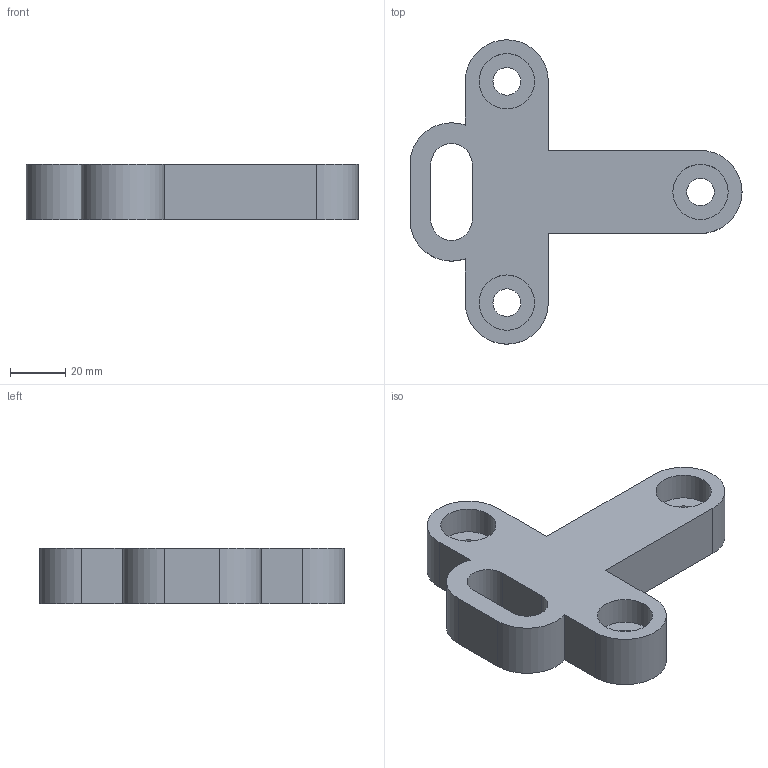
import cadquery as cq

thickness = 20.0
arm_width = 30.0

lug_width = 30.0
slot_width = 15.0
slot_center_spacing = 20.0
lug_x = lug_width / 2

cross_bar_x = 35.0
cross_hole_spacing = 80.0
long_arm_hole_x = 105.0
hole_diameter = 10.0
counterbore_diameter = 20.0
counterbore_depth = 10.0

hole_positions = [
    (cross_bar_x, cross_hole_spacing / 2),
    (cross_bar_x, -cross_hole_spacing / 2),
    (long_arm_hole_x, 0),
]


def rounded_bar(center, center_spacing, width, angle):
    """Full-thickness bar with semicircular ends, turned by angle from the X axis."""
    return (
        cq.Workplane("XY")
        .center(*center)
        .slot2D(center_spacing + width, width, angle)
        .extrude(thickness)
    )


def make_body():
    """T-shaped plate joined to the lug beside its cross bar."""
    long_arm_length = long_arm_hole_x - cross_bar_x
    long_arm_center = (cross_bar_x + long_arm_length / 2, 0)
    cross_bar = rounded_bar((cross_bar_x, 0), cross_hole_spacing, arm_width, 90)
    long_arm = rounded_bar(long_arm_center, long_arm_length, arm_width, 0)
    lug = rounded_bar((lug_x, 0), slot_center_spacing, lug_width, 90)
    return cross_bar.union(long_arm).union(lug)


def cut_slot(body):
    """Through slot concentric with the rounded ends of the lug."""
    return body.cut(rounded_bar((lug_x, 0), slot_center_spacing, slot_width, 90))


def cut_mounting_holes(body):
    """Through holes counterbored from the top face."""
    return (
        body.faces(">Z")
        .workplane(origin=(0, 0, thickness))
        .pushPoints(hole_positions)
        .cboreHole(hole_diameter, counterbore_diameter, counterbore_depth)
    )


result = cut_mounting_holes(cut_slot(make_body()))